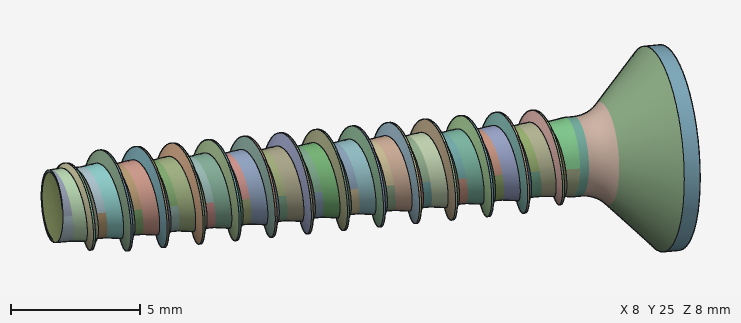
import math
import cadquery as cq

length = 25.0

head_radius = 4.0
head_rim = 0.65
cone_depth = 2.0
cone_slope = math.pi / 4
neck_radius = 1.55
neck_end = 4.1
core_start = 5.0
dish_depth = 0.1

pitch = 1.46
crest_radius = 2.0
core_radius = 1.415
shoulder_radius = 1.50
knee_radius = 1.70
trail_radius = 1.385
buried_radius = 1.33
crest_half_width = 0.04
root_lead = 0.33
knee_lead = 0.14
root_trail = 0.20
core_trail = 1.05

thread_start = 3.815
first_turn = 0.25
turn_count = 14.5
start_fade = 1.25
end_fade = 1.35
start_height = 0.40
end_height = 0.03
full_pieces = 12
piece_steps = 40


def make_body():
    """Head, countersink, neck fillet and plain core as one revolved solid."""
    cone_radius = head_radius - cone_depth * math.tan(cone_slope)
    cone_end = head_rim + cone_depth
    fillet_radius = (cone_radius - neck_radius) / (1 - math.cos(cone_slope))
    fillet_end = cone_end + fillet_radius * math.sin(cone_slope)
    fillet_middle = (
        neck_radius + fillet_radius * (1 - math.cos(cone_slope / 2)),
        -fillet_end + fillet_radius * math.sin(cone_slope / 2),
    )
    dish_middle = (core_radius / 2, 0.75 * dish_depth - length)
    return (
        cq.Workplane("XY")
        .lineTo(head_radius, 0)
        .lineTo(head_radius, -head_rim)
        .lineTo(cone_radius, -cone_end)
        .threePointArc(fillet_middle, (neck_radius, -fillet_end))
        .lineTo(neck_radius, -neck_end)
        .lineTo(core_radius, -core_start)
        .lineTo(core_radius, -length)
        .threePointArc(dish_middle, (0, dish_depth - length))
        .close()
        .revolve(axisStart=(0, 0, 0), axisEnd=(0, 1, 0))
    )


def thread_height(turn):
    """Share of the full thread height at a given turn."""
    rise = start_height + (1 - start_height) * turn / start_fade
    sink = end_height + (1 - end_height) * (turn_count - turn) / end_fade
    return min(1.0, rise, sink)


def thread_point(turn, radius, axial_shift):
    """Point of a thread profile corner; heights above the core follow the fade."""
    if radius > core_radius:
        radius = core_radius + (radius - core_radius) * thread_height(turn)
    angle = 2 * math.pi * (first_turn + turn)
    depth = thread_start + pitch * turn - axial_shift
    return cq.Vector(radius * math.cos(angle), -depth, radius * math.sin(angle))


def spaced(begin, end, count):
    """Values from begin to end in equal steps."""
    return [begin + (end - begin) * i / count for i in range(count + 1)]


def corner_edge(begin, end, radius, axial_shift):
    """Helical edge traced by one profile corner."""
    points = [thread_point(turn, radius, axial_shift) for turn in spaced(begin, end, piece_steps)]
    return cq.Edge.makeSpline(points)


def make_thread():
    """Helical thread body made of ruled faces between the profile corners."""
    profile = [
        (buried_radius, root_lead),
        (knee_radius, knee_lead),
        (crest_radius, crest_half_width),
        (crest_radius, -crest_half_width),
        (shoulder_radius, -root_trail),
        (trail_radius, -core_trail),
        (buried_radius, -core_trail),
    ]
    full_end = turn_count - end_fade
    stops = [0] + spaced(start_fade, full_end, full_pieces) + [turn_count]
    faces = []
    for begin, end in zip(stops, stops[1:]):
        edges = [corner_edge(begin, end, radius, shift) for radius, shift in profile]
        for edge, following in zip(edges, edges[1:] + edges[:1]):
            faces.append(cq.Face.makeRuledSurface(edge, following))
    for turn in (0, turn_count):
        corners = [thread_point(turn, radius, shift) for radius, shift in profile]
        faces.append(cq.Face.makeFromWires(cq.Wire.makePolygon(corners, close=True)))
    return cq.Solid.makeSolid(cq.Shell.makeShell(faces))


def make_screw():
    """Body and thread joined, the thread trimmed at the neck end and flush with the tip."""
    beyond_tip = cq.Workplane("XZ", origin=(0, -length, 0)).circle(head_radius).extrude(pitch)
    before_neck_end = cq.Workplane("XZ", origin=(0, pitch - neck_end, 0)).circle(head_radius).extrude(pitch)
    thread = cq.Workplane(obj=make_thread()).cut(before_neck_end)
    screw = make_body().union(thread).cut(beyond_tip)
    return cq.Workplane(obj=screw.solids().val())


result = make_screw()